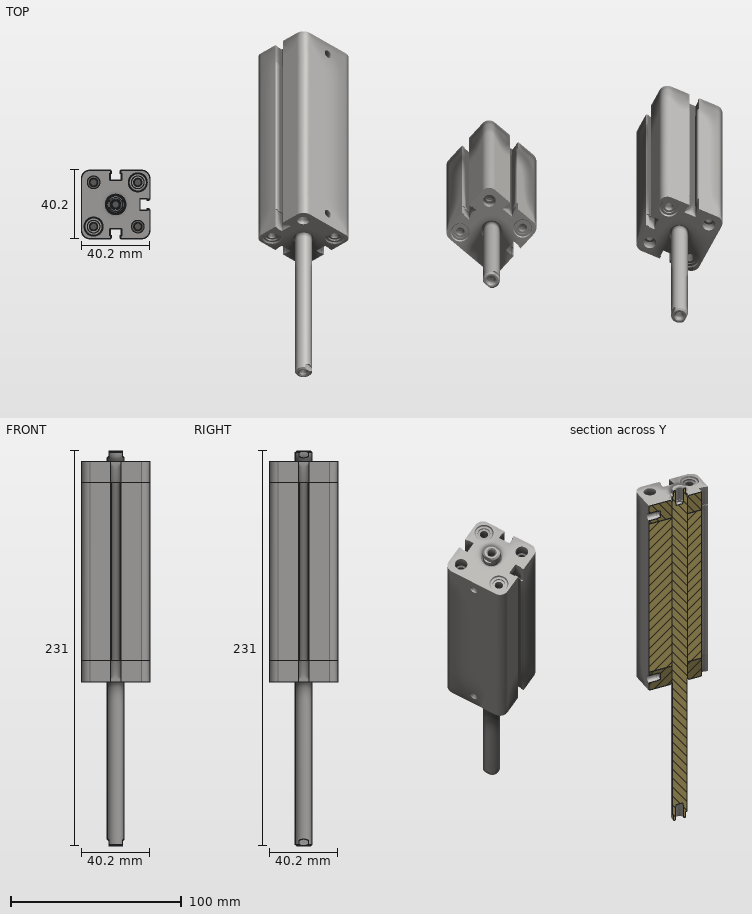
import cadquery as cq

total_length = 231.0
rod_top_stub = 6.0
cap_height = 12.5
barrel_length = 104.2
top_face_z = total_length - rod_top_stub
barrel_top_z = top_face_z - cap_height
barrel_bottom_z = barrel_top_z - barrel_length
bottom_face_z = barrel_bottom_z - cap_height
middle_z = (top_face_z + bottom_face_z) / 2

width = 40.2
half_width = width / 2
corner_radius = 5.0

slot_angles = (0, 90, 270)
slot_depth = 5.8
slot_lip = 1.8
barrel_mouth_width = 4.9
barrel_slot_width = 6.2
barrel_mouth_chamfer = 0.7
cap_mouth_width = 6.2
cap_slot_width = 7.2

thread_diameter = 4.9
core_diameter = 4.2
core_extra_depth = 1.5

rod_diameter = 10.0
rod_chamfer = 1.0
flat_spacing = 8.0
flat_length = 4.0
flat_cutter_radius = 5.0
rod_thread_depth = 9.2
rod_thread_chamfer = 0.7

rod_recess_diameter = 12.0
rod_recess_floor_diameter = 10.9
rod_recess_depth = 1.0

corner_offset = 13.0
corner_hole_diameter = 7.5
plain_hole_depth = 7.0
corner_recess_diameter = 11.0
corner_recess_floor_diameter = 10.2
corner_recess_depth = 1.0
recessed_hole_depth = 1.8
corner_thread_depth = 10.2

port_depth = 6.0
port_distance = 7.9


def rounded_bar(bottom_z, height):
    """Square bar with rounded vertical edges."""
    bar = cq.Workplane("XY", origin=(0, 0, bottom_z)).rect(width, width).extrude(height)
    return bar.edges("|Z").fillet(corner_radius)


def cut_slots(body, bottom_z, height, mouth_width, inner_width, mouth_chamfer):
    """Cut the undercut slots along the whole height; the lips may have chamfered mouths."""
    mouth = mouth_width / 2
    inner = inner_width / 2
    floor_x = half_width - slot_depth
    lip_x = half_width - slot_lip
    half_outline = [(floor_x, inner), (lip_x, inner), (lip_x, mouth)]
    if mouth_chamfer > 0:
        half_outline.append((half_width - mouth_chamfer, mouth))
    half_outline.append((half_width, mouth + mouth_chamfer))
    mirrored_half = [(x, -y) for x, y in reversed(half_outline)]
    slot = cq.Workplane("XY", origin=(0, 0, bottom_z)).polyline(half_outline + mirrored_half).close()
    slot = slot.extrude(height)
    for angle in slot_angles:
        body = body.cut(slot.rotate((0, 0, 0), (0, 0, 1), angle))
    return body


def drilling(plane, diameter, depth):
    """Cylinder running from the plane's origin against the plane's normal."""
    return cq.Workplane(plane).circle(diameter / 2).extrude(-depth)


def threaded_hole(plane, thread_depth):
    core = drilling(plane, core_diameter, thread_depth + core_extra_depth)
    return drilling(plane, thread_diameter, thread_depth).union(core)


def tapered_recess(plane, mouth_diameter, floor_diameter, depth):
    """Cone that narrows from the plane's origin against the plane's normal."""
    mouth = cq.Workplane(plane).circle(mouth_diameter / 2)
    return mouth.workplane(offset=-depth).circle(floor_diameter / 2).loft()


def make_barrel():
    barrel = rounded_bar(barrel_bottom_z, barrel_length)
    barrel = cut_slots(
        barrel, barrel_bottom_z, barrel_length, barrel_mouth_width, barrel_slot_width, barrel_mouth_chamfer
    )
    top_plane = cq.Plane((0, 0, barrel_top_z))
    return barrel.cut(drilling(top_plane, rod_diameter, barrel_length))


def cut_corner_holes(cap):
    for x_side in (-1, 1):
        for y_side in (-1, 1):
            plane = cq.Plane((x_side * corner_offset, y_side * corner_offset, top_face_z))
            hole_depth = plain_hole_depth
            if x_side == y_side:
                hole_depth = recessed_hole_depth
                recess = tapered_recess(
                    plane, corner_recess_diameter, corner_recess_floor_diameter, corner_recess_depth
                )
                cap = cap.cut(recess)
            cap = cap.cut(drilling(plane, corner_hole_diameter, hole_depth))
            cap = cap.cut(threaded_hole(plane, corner_thread_depth))
    return cap


def make_top_cap():
    cap = rounded_bar(barrel_top_z, cap_height)
    cap = cut_slots(cap, barrel_top_z, cap_height, cap_mouth_width, cap_slot_width, 0)
    top_plane = cq.Plane((0, 0, top_face_z))
    cap = cap.cut(drilling(top_plane, rod_diameter, cap_height))
    cap = cap.cut(
        tapered_recess(top_plane, rod_recess_diameter, rod_recess_floor_diameter, rod_recess_depth)
    )
    cap = cut_corner_holes(cap)
    port_plane = cq.Plane((-half_width, 0, top_face_z - port_distance), xDir=(0, 1, 0), normal=(-1, 0, 0))
    return cap.cut(threaded_hole(port_plane, port_depth))


def rod_flat(x_side, end_z, z_direction):
    """Disc cutter for one wrench flat, reaching inward from the end of the rod."""
    centre_z = end_z + z_direction * (flat_cutter_radius - flat_length)
    cutter = cq.Workplane("YZ", origin=(x_side * flat_spacing / 2, 0, centre_z))
    return cutter.circle(flat_cutter_radius).extrude(x_side * rod_diameter / 2)


def make_rod():
    rod = cq.Workplane("XY").circle(rod_diameter / 2).extrude(total_length)
    rod = rod.faces("<Z or >Z").chamfer(rod_chamfer)
    for end_z, z_direction in ((0, -1), (total_length, 1)):
        for x_side in (-1, 1):
            rod = rod.cut(rod_flat(x_side, end_z, z_direction))
        end_plane = cq.Plane((0, 0, end_z), normal=(0, 0, z_direction))
        rod = rod.cut(threaded_hole(end_plane, rod_thread_depth))
        chamfer_mouth = thread_diameter + 2 * rod_thread_chamfer
        rod = rod.cut(tapered_recess(end_plane, chamfer_mouth, thread_diameter, rod_thread_chamfer))
    return rod


barrel = make_barrel()
top_cap = make_top_cap()
bottom_cap = top_cap.mirror("XY", (0, 0, middle_z))
piston_rod = make_rod()

result = cq.Compound.makeCompound([barrel.val(), top_cap.val(), bottom_cap.val(), piston_rod.val()])